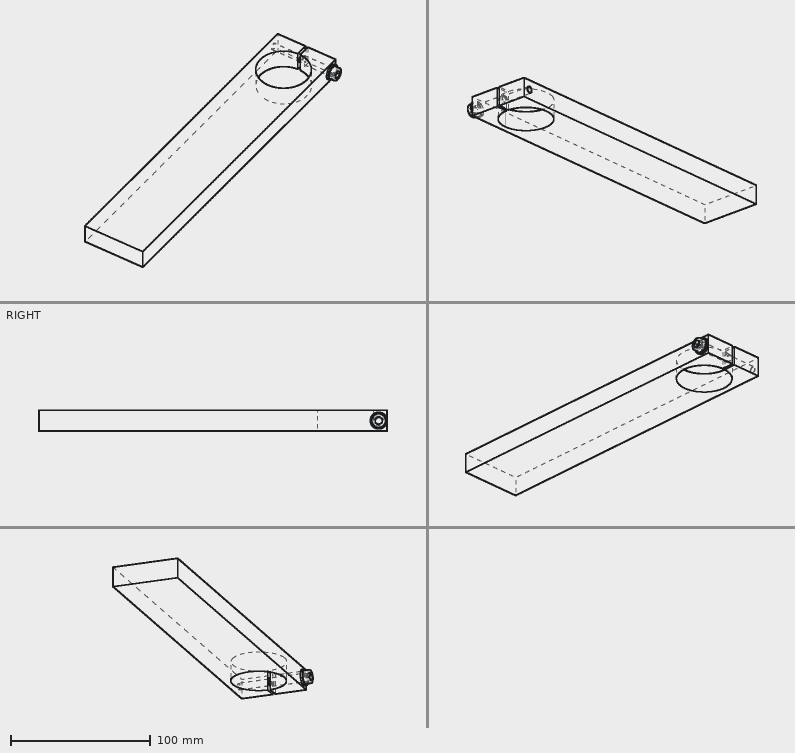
import cadquery as cq

BAR_WIDTH = 50.0
BAR_LENGTH = 250.0
BAR_THICKNESS = 15.0
BORE_DIAMETER = 40.0
BORE_END_DISTANCE = 30.0
SLIT_WIDTH = 2.0

SCREW_END_DISTANCE = 6.0
SHANK_DIAMETER = 6.0
HEAD_DIAMETER = 10.0
HEAD_EDGE_FILLET = 0.8
THREAD_DIAMETER = 4.8
THREAD_TIP_CHAMFER = 0.2
SHANK_TO_SLIT_WALL = 0.2
SOCKET_ACROSS_FLATS = 5.0
SOCKET_DEPTH = 3.0
SCREW_OVERHANG = 5.8

WASHER_DIAMETER = 12.0
WASHER_HOLE_DIAMETER = 6.5
WASHER_THICKNESS = 1.5

CLEARANCE_DIAMETER = 6.2
THREAD_HOLE_DIAMETER = 5.0

SIDE_X = BAR_WIDTH / 2
END_Y = BAR_LENGTH / 2
BORE_Y = END_Y - BORE_END_DISTANCE
SCREW_Y = END_Y - SCREW_END_DISTANCE
HEAD_SEAT_X = SIDE_X + WASHER_THICKNESS
HEAD_TOP_X = SIDE_X + SCREW_OVERHANG
SHANK_END_X = -SLIT_WIDTH / 2 + SHANK_TO_SLIT_WALL


def screw_axis_plane(x):
    """Plane across the screw axis at x, with its normal along +X."""
    return cq.Workplane("YZ", origin=(x, SCREW_Y, 0))


def rod_along_screw(diameter, x_start, x_end):
    """Cylinder on the screw axis between two X positions."""
    return screw_axis_plane(x_start).circle(diameter / 2).extrude(x_end - x_start)


def make_bar():
    """Bar with the bore, the slit that opens it at the +Y end, and the screw holes."""
    bar = cq.Workplane("XY").box(BAR_WIDTH, BAR_LENGTH, BAR_THICKNESS)
    bore = (
        cq.Workplane("XY", origin=(0, BORE_Y, 0))
        .circle(BORE_DIAMETER / 2)
        .extrude(BAR_THICKNESS / 2, both=True)
    )
    slit = cq.Workplane("XY", origin=(0, (BORE_Y + END_Y) / 2, 0)).box(
        SLIT_WIDTH, BORE_END_DISTANCE, BAR_THICKNESS
    )
    thread_hole = rod_along_screw(THREAD_HOLE_DIAMETER, -SIDE_X, 0)
    clearance_hole = rod_along_screw(CLEARANCE_DIAMETER, 0, SIDE_X)
    return bar.cut(bore).cut(slit).cut(thread_hole).cut(clearance_hole)


def make_washer():
    """Flat ring against the +X side of the bar."""
    disc = rod_along_screw(WASHER_DIAMETER, SIDE_X, HEAD_SEAT_X)
    return disc.cut(rod_along_screw(WASHER_HOLE_DIAMETER, SIDE_X, HEAD_SEAT_X))


def make_screw():
    """Socket-head screw: thread flush with the -X side, wider shank, head on the washer."""
    thread = rod_along_screw(THREAD_DIAMETER, -SIDE_X, SHANK_END_X)
    thread = thread.faces("<X").chamfer(THREAD_TIP_CHAMFER)
    shank = rod_along_screw(SHANK_DIAMETER, SHANK_END_X, HEAD_SEAT_X)
    head = rod_along_screw(HEAD_DIAMETER, HEAD_SEAT_X, HEAD_TOP_X)
    head = head.faces(">X").edges().fillet(HEAD_EDGE_FILLET)
    socket = (
        screw_axis_plane(HEAD_TOP_X)
        .polygon(6, SOCKET_ACROSS_FLATS, circumscribed=True)
        .extrude(-SOCKET_DEPTH)
    )
    return thread.union(shank).union(head).cut(socket)


bar = make_bar()
washer = make_washer()
screw = make_screw()

result = cq.Compound.makeCompound([bar.val(), washer.val(), screw.val()])